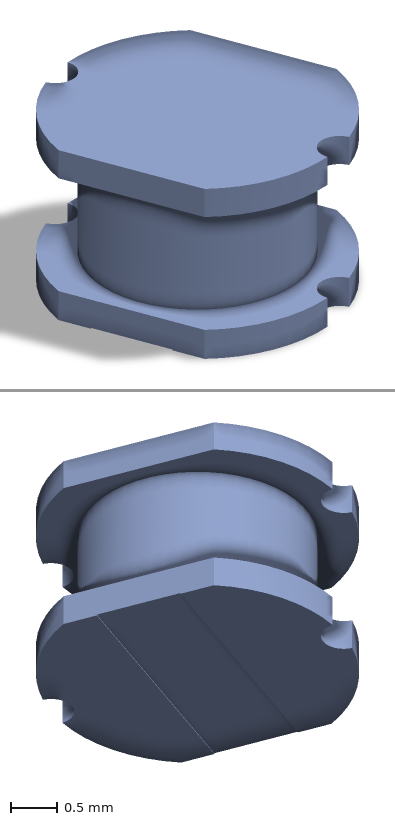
import cadquery as cq
import math

flange_length = 3.46
flange_width = 3.0
flange_thickness = 0.35
notch_radius = 0.25
half_length = flange_length / 2
flange_radius = (half_length + math.sqrt(half_length**2 + 2 * notch_radius**2)) / 2
post_diameter = 1.6

winding_diameter = 2.6

pad_thickness = 0.01
pad_gap = 1.0

total_height = 2.11
lower_flange_top = pad_thickness + flange_thickness
upper_flange_bottom = total_height - flange_thickness
winding_height = upper_flange_bottom - lower_flange_top


def disc(diameter, bottom, height):
    """Upright cylinder on the Z axis."""
    return cq.Workplane("XY").workplane(offset=bottom).circle(diameter / 2).extrude(height)


def flange_plate(bottom, thickness):
    """Disc with two flats facing Y and a round notch at each X end."""
    flats = (
        cq.Workplane("XY")
        .workplane(offset=bottom)
        .rect(2 * flange_radius, flange_width)
        .extrude(thickness)
    )
    notches = (
        cq.Workplane("XY")
        .workplane(offset=bottom)
        .pushPoints([(-flange_radius, 0), (flange_radius, 0)])
        .circle(notch_radius)
        .extrude(thickness)
    )
    return disc(2 * flange_radius, bottom, thickness).intersect(flats).cut(notches)


def make_core():
    """Lower flange, post and upper flange in one piece."""
    lower_flange = flange_plate(pad_thickness, flange_thickness)
    upper_flange = flange_plate(upper_flange_bottom, flange_thickness)
    post = disc(post_diameter, lower_flange_top, winding_height)
    return lower_flange.union(post).union(upper_flange)


def make_winding():
    """Ring that fills the space around the post between the flanges."""
    outer = disc(winding_diameter, lower_flange_top, winding_height)
    bore = disc(post_diameter, lower_flange_top, winding_height)
    return outer.cut(bore)


def make_pad(side):
    """Thin pad with the flange outline; side is -1 or 1 along X."""
    pad_length = flange_radius - pad_gap / 2
    pad_center = side * (pad_gap + pad_length) / 2
    pad_area = (
        cq.Workplane("XY")
        .center(pad_center, 0)
        .rect(pad_length, flange_width)
        .extrude(pad_thickness)
    )
    return flange_plate(0, pad_thickness).intersect(pad_area)


core = make_core()
winding = make_winding()
pads = [make_pad(side) for side in (-1, 1)]

result = cq.Compound.makeCompound([core.val(), winding.val(), *[pad.val() for pad in pads]])